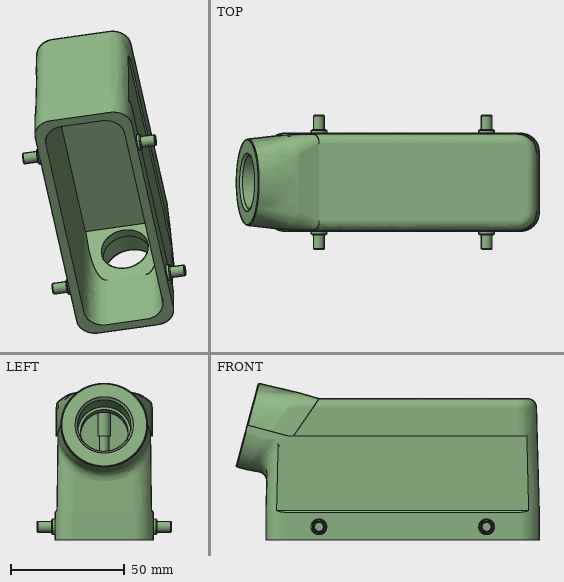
import cadquery as cq
import math

LENGTH = 133.8

RIM_LENGTH = 120.7
RIM_WIDTH = 43.3
RIM_HEIGHT = 13.1
CORNER_RADIUS = 8.3

HOUSING_TOP = 62.5
END_DRAFT = 1.3
SIDE_DRAFT = 0.5
TOP_FILLET = 4.0

PANEL_TOP = 45.9
PANEL_HALF_WIDTH_LOW = 20.9
PANEL_HALF_WIDTH_HIGH = 20.5
RIM_CHAMFER = 0.8

AXIS_DROP = 15.0
ENTRY_Z = 50.8
ENTRY_RADIUS = 19.1
ENTRY_CHAMFER = 0.4
SHOULDER_TOP_X = 23.5
SHOULDER_TILT = 55.5
SHOULDER_DEPTH = 20.1
SNOUT_FILLET = 4.0

FLAT_ENTRY_HALF_WIDTH = 18.9
FLAT_BEND_HALF_WIDTH = 21.0
FLAT_DEPTH = 5.4

NECK_X = 2.7
NECK_HALF_WIDTH = 20.3
NECK_HEIGHT = 20.9
NECK_DEPTH = 20.3
NECK_CORNER = 8.7

CORNER_SPAN = (40, 52)

BORE_DIAMETER = 23.5
BORE_DEPTH = 13.0
THROAT_DIAMETER = 21.0
THROAT_LENGTH = 4.7
MOUTH_CHAMFER = 1.1

WALL = 4.0
CAVITY_CORNER_RADIUS = 8.7
RIB_DIAMETER_HIGH = 5.5
RIB_DIAMETER_LOW = 4.1

PIN_XS = (23.4, 97.4)
PIN_Z = 5.9
PIN_DIAMETER = 4.8
PIN_TIP_Y = 29.7
PIN_CHAMFER = 0.4
COLLAR_DIAMETER = 7.0
COLLAR_HEIGHT = 1.6
COLLAR_CHAMFER = 0.5

CLEARANCE = 80.3

MID_X = RIM_LENGTH / 2
HOUSING_HALF_WIDTH = RIM_WIDTH / 2 - SIDE_DRAFT
DROP_SLOPE = math.tan(math.radians(AXIS_DROP))
SHOULDER_SLOPE = math.tan(math.radians(SHOULDER_TILT))
ENTRY_X = RIM_LENGTH - LENGTH + (ENTRY_RADIUS - ENTRY_CHAMFER) * math.sin(math.radians(AXIS_DROP))
BORE_END = BORE_DEPTH + THROAT_LENGTH


def tilted_plane(x, z, tilt):
    """Plane along Y whose local Y climbs toward +X at the given angle from horizontal."""
    angle = math.radians(tilt)
    return cq.Plane((x, 0, z), (0, 1, 0), (math.sin(angle), 0, -math.cos(angle)))


ENTRY_PLANE = tilted_plane(ENTRY_X, ENTRY_Z, 90 - AXIS_DROP)

SHOULDER_X = SHOULDER_TOP_X - (HOUSING_TOP - PANEL_TOP) / SHOULDER_SLOPE
SHOULDER_HEIGHT = math.hypot(SHOULDER_TOP_X - SHOULDER_X, HOUSING_TOP - PANEL_TOP)
SHOULDER_PLANE = tilted_plane(SHOULDER_X, PANEL_TOP, SHOULDER_TILT)

NECK_PLANE = tilted_plane(NECK_X, ENTRY_Z - (NECK_X - ENTRY_X) * DROP_SLOPE, SHOULDER_TILT)

STEP_BEND_X = ENTRY_X + (ENTRY_Z - PANEL_TOP) / DROP_SLOPE
STEP_END = (ENTRY_X - CLEARANCE, ENTRY_Z + CLEARANCE * DROP_SLOPE)

ENTRY_SEAM = cq.selectors.BoxSelector((-1.3, -CLEARANCE, 26.8), (4.7, CLEARANCE, 41.5))


def rounded_block(low_z, height, inset, radius, end_draft=0, side_draft=0):
    """Upright block with rounded corners, inset from the rim outline and narrowing upward."""
    length = RIM_LENGTH - 2 * inset
    width = RIM_WIDTH - 2 * inset
    low = cq.Sketch().rect(length, width).vertices().fillet(radius)
    high = cq.Sketch().rect(length - 2 * end_draft, width - 2 * side_draft).vertices().fillet(radius)
    high = high.moved(cq.Location(cq.Vector(0, 0, height)))
    return cq.Workplane("XY", origin=(MID_X, 0, low_z)).placeSketch(low, high).loft(ruled=True)


def housing():
    """Rim and drafted upper body, cleared where the snout takes over."""
    rim = rounded_block(0, RIM_HEIGHT, 0, CORNER_RADIUS)
    upper = rounded_block(RIM_HEIGHT, HOUSING_TOP - RIM_HEIGHT, 0, CORNER_RADIUS, END_DRAFT, SIDE_DRAFT)
    upper = upper.faces(">Z").edges().fillet(TOP_FILLET)
    make_room = (
        cq.Workplane("XZ")
        .moveTo(*STEP_END)
        .lineTo(STEP_BEND_X, PANEL_TOP)
        .lineTo(SHOULDER_X, PANEL_TOP)
        .lineTo(SHOULDER_X + CLEARANCE / SHOULDER_SLOPE, PANEL_TOP + CLEARANCE)
        .lineTo(STEP_END[0], PANEL_TOP + CLEARANCE)
        .close()
        .extrude(CLEARANCE, both=True)
    )
    return upper.cut(make_room).union(rim)


def polar(radius, degrees):
    angle = math.radians(degrees)
    return (radius * math.cos(angle), radius * math.sin(angle))


def entry_circle(radius, depth):
    """Circle across the snout axis, split into the same pieces as the arched sections."""
    low, high = CORNER_SPAN
    middle = (low + high) / 2
    return (
        cq.Workplane(ENTRY_PLANE)
        .workplane(offset=depth)
        .moveTo(radius, 0)
        .threePointArc(polar(radius, low / 2), polar(radius, low))
        .threePointArc(polar(radius, middle), polar(radius, high))
        .threePointArc((0, radius), polar(radius, 180 - high))
        .threePointArc(polar(radius, 180 - middle), polar(radius, 180 - low))
        .threePointArc(polar(radius, 180 - low / 2), (-radius, 0))
        .threePointArc((0, -radius), (radius, 0))
        .wire()
        .val()
    )


def arched_section(plane, half_width, height, depth, corner):
    """Rounded rectangle above the snout axis, round arch below it."""
    mid_corner = corner * (1 - math.sqrt(0.5))
    return (
        cq.Workplane(plane)
        .moveTo(half_width, 0)
        .lineTo(half_width, height - corner)
        .threePointArc((half_width - mid_corner, height - mid_corner), (half_width - corner, height))
        .lineTo(corner - half_width, height)
        .threePointArc((mid_corner - half_width, height - mid_corner), (-half_width, height - corner))
        .lineTo(-half_width, 0)
        .threePointArc((0, -depth), (half_width, 0))
        .wire()
        .val()
    )


def snout():
    """Snout lofted from its chamfered round entry to the shoulder of the housing."""
    sections = [
        entry_circle(ENTRY_RADIUS - ENTRY_CHAMFER, 0),
        entry_circle(ENTRY_RADIUS, ENTRY_CHAMFER),
        arched_section(NECK_PLANE, NECK_HALF_WIDTH, NECK_HEIGHT, NECK_DEPTH, NECK_CORNER),
        arched_section(SHOULDER_PLANE, HOUSING_HALF_WIDTH, SHOULDER_HEIGHT, SHOULDER_DEPTH, TOP_FILLET),
    ]
    return cq.Workplane(cq.Solid.makeLoft(sections, True))


def snout_flats():
    """Cutters that continue the step along both sides of the snout, fading toward its entry."""
    under_step = (
        cq.Workplane("XZ")
        .moveTo(*STEP_END)
        .lineTo(STEP_BEND_X, PANEL_TOP)
        .lineTo(STEP_BEND_X, PANEL_TOP - FLAT_DEPTH)
        .lineTo(STEP_END[0], STEP_END[1] - FLAT_DEPTH)
        .close()
        .extrude(CLEARANCE, both=True)
    )
    spread = (FLAT_BEND_HALF_WIDTH - FLAT_ENTRY_HALF_WIDTH) / (STEP_BEND_X - ENTRY_X)
    outside = (
        cq.Workplane("XY")
        .moveTo(STEP_BEND_X, FLAT_BEND_HALF_WIDTH)
        .lineTo(STEP_BEND_X, CLEARANCE)
        .lineTo(STEP_END[0], CLEARANCE)
        .lineTo(STEP_END[0], FLAT_BEND_HALF_WIDTH - spread * (STEP_BEND_X - STEP_END[0]))
        .close()
        .extrude(2 * CLEARANCE)
    )
    one_side = outside.intersect(under_step)
    return one_side.union(one_side.mirror("XZ"))


def panel_recess():
    """Cutters for both sides: everything outside the panel planes and under the step."""
    lean = (PANEL_HALF_WIDTH_LOW - PANEL_HALF_WIDTH_HIGH) / (PANEL_TOP - RIM_HEIGHT)
    below_step = (
        cq.Workplane("XZ")
        .moveTo(*STEP_END)
        .lineTo(STEP_BEND_X, PANEL_TOP)
        .lineTo(RIM_LENGTH + CLEARANCE, PANEL_TOP)
        .lineTo(RIM_LENGTH + CLEARANCE, 0)
        .lineTo(STEP_END[0], 0)
        .close()
        .extrude(CLEARANCE, both=True)
    )
    outside_panel = (
        cq.Workplane("YZ", origin=(STEP_END[0], 0, 0))
        .moveTo(PANEL_HALF_WIDTH_LOW, RIM_HEIGHT)
        .lineTo(PANEL_HALF_WIDTH_LOW - lean * CLEARANCE, RIM_HEIGHT + CLEARANCE)
        .lineTo(CLEARANCE, RIM_HEIGHT + CLEARANCE)
        .lineTo(CLEARANCE, RIM_HEIGHT - RIM_CHAMFER)
        .lineTo(RIM_WIDTH / 2, RIM_HEIGHT - RIM_CHAMFER)
        .close()
        .extrude(RIM_LENGTH + 2 * CLEARANCE)
    )
    one_side = outside_panel.intersect(below_step)
    return one_side.union(one_side.mirror("XZ"))


def bore():
    """Stepped hole along the snout axis with a chamfered mouth."""
    entry = cq.Workplane(ENTRY_PLANE)
    hole = entry.circle(BORE_DIAMETER / 2).extrude(BORE_DEPTH)
    throat = entry.circle(THROAT_DIAMETER / 2).extrude(BORE_END + THROAT_LENGTH)
    mouth = cq.Workplane(
        cq.Solid.makeCone(
            BORE_DIAMETER / 2 + MOUTH_CHAMFER,
            BORE_DIAMETER / 2,
            MOUTH_CHAMFER,
            ENTRY_PLANE.origin,
            ENTRY_PLANE.zDir,
        )
    )
    return hole.union(throat).union(mouth)


def cavity():
    """Hollow open at the bottom; the throat wall bounds it and a round rib stands at the far end."""
    cavity_height = HOUSING_TOP - WALL
    hollow = rounded_block(0, cavity_height, WALL, CAVITY_CORNER_RADIUS, END_DRAFT, SIDE_DRAFT)
    throat_wall = (
        cq.Workplane(ENTRY_PLANE)
        .rect(2 * CLEARANCE, 2 * CLEARANCE)
        .extrude(BORE_END)
    )
    rib_x = RIM_LENGTH - WALL - END_DRAFT
    low_rib = cq.Workplane("XY", origin=(rib_x, 0, RIM_HEIGHT)).circle(RIB_DIAMETER_LOW / 2)
    high_rib = cq.Workplane("XY", origin=(rib_x, 0, PANEL_TOP)).circle(RIB_DIAMETER_HIGH / 2)
    return (
        hollow.cut(throat_wall)
        .cut(low_rib.extrude(HOUSING_TOP - RIM_HEIGHT))
        .cut(high_rib.extrude(HOUSING_TOP - PANEL_TOP))
    )


def pin(x):
    """Locking pin with its collar on the +Y side."""
    wall_y = RIM_WIDTH / 2 - WALL / 2
    seat = cq.Workplane("XZ", origin=(x, wall_y, PIN_Z))
    collar = (
        seat.circle(COLLAR_DIAMETER / 2)
        .extrude(-(RIM_WIDTH / 2 + COLLAR_HEIGHT - wall_y))
        .faces(">Y")
        .chamfer(COLLAR_CHAMFER)
    )
    shaft = (
        seat.circle(PIN_DIAMETER / 2)
        .extrude(-(PIN_TIP_Y - wall_y))
        .faces(">Y")
        .chamfer(PIN_CHAMFER)
    )
    return collar.union(shaft)


body = housing().union(snout())
body = body.edges(ENTRY_SEAM).fillet(SNOUT_FILLET)
body = body.cut(panel_recess()).cut(snout_flats())
body = body.cut(cavity()).cut(bore())
for pin_x in PIN_XS:
    near_pin = pin(pin_x)
    body = body.union(near_pin).union(near_pin.mirror("XZ"))

result = body